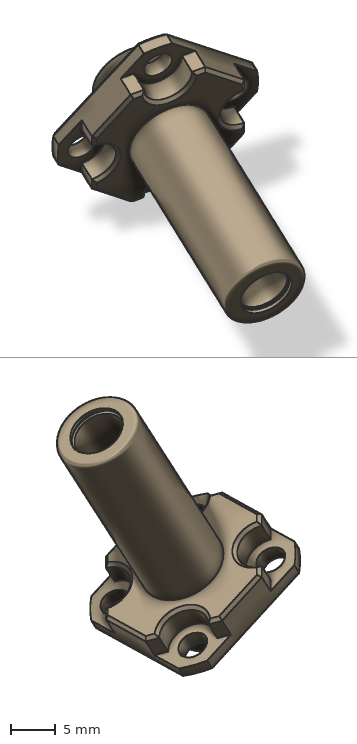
import cadquery as cq

tube_length = 35.0
tube_diameter = 10.0
tube_edge_radius = 0.5
bore_diameter = 6.0
bore_mouth_diameter = 6.4
bore_mouth_depth = 0.5
ring_groove_diameter = 6.8
ring_groove_width = 0.28

flange_start = 5.0
flange_thickness = 1.92
flange_width = 20.0
flange_corner_diameter = 25.0
flange_chamfer = 0.5

collar_thickness = 3.0
collar_chamfer = 0.42
mounting_radius = 9.5
mounting_hole_diameter = 3.5
scoop_diameter = 6.0

mounting_points = [
    (mounting_radius, 0),
    (0, mounting_radius),
    (-mounting_radius, 0),
    (0, -mounting_radius),
]
collar_start = flange_start + flange_thickness


def cross_section(x):
    """Work plane across the tube at the given X, facing +X."""
    return cq.Workplane("YZ", origin=(x, 0, 0))


def tilted_square(x, thickness):
    """Square plate whose corners point along Y and Z."""
    plate = cross_section(x).rect(flange_width, flange_width).extrude(thickness)
    return plate.rotate((0, 0, 0), (1, 0, 0), 45)


def make_flange():
    corner_limit = cross_section(flange_start).circle(flange_corner_diameter / 2).extrude(flange_thickness)
    flange = tilted_square(flange_start, flange_thickness).intersect(corner_limit)
    flange = flange.faces("<X").chamfer(flange_chamfer)
    holes = (
        cross_section(flange_start)
        .pushPoints(mounting_points)
        .circle(mounting_hole_diameter / 2)
        .extrude(flange_thickness)
    )
    return flange.cut(holes)


def make_collar():
    corner_limit = cross_section(collar_start).rect(2 * mounting_radius, 2 * mounting_radius)
    collar = tilted_square(collar_start, collar_thickness).intersect(corner_limit.extrude(collar_thickness))
    scoops = (
        cross_section(collar_start)
        .pushPoints(mounting_points)
        .circle(scoop_diameter / 2)
        .extrude(collar_thickness)
    )
    return collar.cut(scoops).faces(">X").chamfer(collar_chamfer)


def make_tube():
    tube = cross_section(0).circle(tube_diameter / 2).extrude(tube_length)
    return tube.faces("<X or >X").edges().fillet(tube_edge_radius)


def make_bore():
    """Through bore with a wider mouth and a ring groove behind it at each end."""
    bore = cross_section(0).circle(bore_diameter / 2).extrude(tube_length)
    mouth = cross_section(0).circle(bore_mouth_diameter / 2).extrude(bore_mouth_depth)
    groove = cross_section(bore_mouth_depth).circle(ring_groove_diameter / 2).extrude(ring_groove_width)
    end_recess = mouth.union(groove)
    far_recess = end_recess.mirror("YZ").translate((tube_length, 0, 0))
    return bore.union(end_recess).union(far_recess)


result = make_tube().union(make_flange()).union(make_collar()).cut(make_bore())